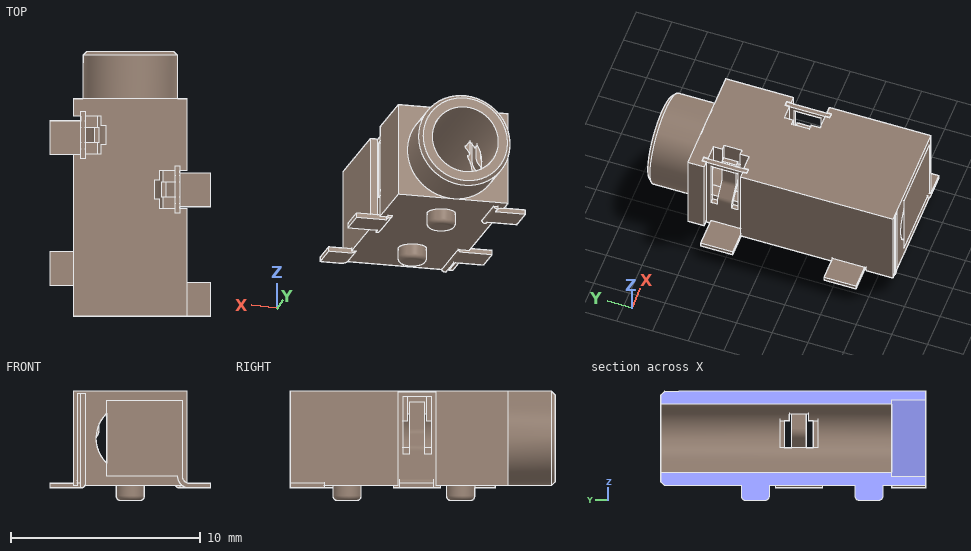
import cadquery as cq
import math

body_width = 6.0
body_length = 11.5
body_height = 5.0
collar_diameter = 5.0
collar_length = 2.5
collar_chamfer = 0.2
bore_diameter = 3.6
peg_diameter = 1.5
peg_length = 0.8
peg_fillet = 0.25
peg_positions_y = (3.0, 9.0)
half_width = body_width / 2
bore_height = body_height / 2

sheet = 0.25
foot_width = 1.8
foot_tip = 4.25
foot_bottom = -sheet / 2
foot_top = sheet / 2
blade_inner = 2.375
blade_outer = blade_inner + sheet
heel_radius = 0.2

spring_blade_width = 2.5
spring_blade_top = 4.95
window_width = 1.5
window_bottom = 1.66
window_top = 4.7
spring_width = 0.8
spring_bend_start = 1.84
spring_tip = 4.425
spring_offset = 0.735
spring_bend_radius = 0.44
spring_angle = math.radians(42.5)
left_spring_y = 9.58
left_spring_foot_y = 9.44
right_spring_y = 6.7
right_spring_foot_y = 6.68
right_foot_fillet = 0.2

pocket_width = 2.0
pocket_inner = 1.55
pocket_floor = 2.0
deep_pocket_width = 1.0
deep_pocket_inner = 1.275

blade_length = 3.43
blade_top = 4.86
slot_outer = 2.795
foot_notch_start = 1.52
foot_notch_height = 0.26

block_size = 4.0
block_left = -1.25
block_right = block_left + block_size
block_bottom = (body_height - block_size) / 2
block_top = block_bottom + block_size


def block(x_range, y_range, z_range):
    """Box between two limits along each axis."""
    size = [high - low for low, high in (x_range, y_range, z_range)]
    corner = (x_range[0], y_range[0], z_range[0])
    return cq.Workplane("XY").box(*size, centered=False).translate(corner)


def span(center, width):
    """Limits of a stretch of the given width around its centre."""
    return (center - width / 2, center + width / 2)


def mirrored(shape):
    """The same shape on the other side of the centre plane."""
    return shape.mirror("YZ")


def blade_and_foot(blade_span, top, foot_span):
    """Upright blade on the left side with a flat foot pointing outwards."""
    blade = block((-blade_outer, -blade_inner), blade_span, (foot_bottom, top))
    blade = blade.edges("|Y and >X and <Z").fillet(heel_radius)
    foot = block((-foot_tip, -blade_outer), foot_span, (foot_bottom, foot_top))
    return blade.union(foot)


def spring_tongue(center_y):
    """Strip that rises from the blade, leans inwards and turns upright again."""
    lower_radius = spring_bend_radius - sheet / 2
    upper_radius = spring_bend_radius + sheet / 2
    bend_run = 1 - math.cos(spring_angle)
    bend_rise = math.sin(spring_angle)
    slope_run = spring_offset - (lower_radius + upper_radius) * bend_run
    slope_rise = slope_run / math.tan(spring_angle)
    root_x = -(blade_inner + blade_outer) / 2
    path = (
        cq.Workplane("XZ", origin=(0, center_y, 0))
        .moveTo(root_x, window_bottom)
        .lineTo(root_x, spring_bend_start)
        .tangentArcPoint((lower_radius * bend_run, lower_radius * bend_rise))
        .line(slope_run, slope_rise)
        .tangentArcPoint((upper_radius * bend_run, upper_radius * bend_rise))
        .lineTo(root_x + spring_offset, spring_tip)
    )
    strip = cq.Workplane("XY", origin=(root_x, center_y, window_bottom)).rect(sheet, spring_width)
    return strip.sweep(path)


def spring_terminal(center_y, foot_y):
    """Left-hand spring terminal: windowed blade, foot and spring tongue."""
    terminal = blade_and_foot(
        span(center_y, spring_blade_width), spring_blade_top, span(foot_y, foot_width)
    )
    window = block(
        (-blade_outer, -blade_inner), span(center_y, window_width), (window_bottom, window_top)
    )
    return terminal.cut(window).union(spring_tongue(center_y))


def foot_fillet(center_y):
    """Concave fillet between the outer face of a left-hand blade and its foot."""
    edge = -blade_outer
    foot_end = edge - right_foot_fillet
    blade_end = foot_top + right_foot_fillet
    corner = block((foot_end, edge), span(center_y, foot_width), (foot_top, blade_end))
    hollow = (
        cq.Workplane("XZ", origin=(foot_end, center_y + foot_width / 2, blade_end))
        .circle(right_foot_fillet)
        .extrude(foot_width)
    )
    return corner.cut(hollow)


def end_block_terminal():
    """Square end block with a side leg that bends out into a foot."""
    core = block((block_left, block_right), (0, foot_width), (block_bottom, block_top))
    leg_inner = block_right - sheet
    outer_radius = block_bottom - foot_bottom
    inner_radius = outer_radius - sheet
    bend_end = leg_inner + outer_radius
    diagonal = math.sqrt(0.5)
    leg = (
        cq.Workplane("XZ")
        .moveTo(leg_inner, block_top)
        .lineTo(leg_inner, block_bottom)
        .threePointArc(
            (bend_end - outer_radius * diagonal, block_bottom - outer_radius * diagonal),
            (bend_end, foot_bottom),
        )
        .lineTo(foot_tip, foot_bottom)
        .lineTo(foot_tip, foot_top)
        .lineTo(bend_end, foot_top)
        .threePointArc(
            (bend_end - inner_radius * diagonal, block_bottom - inner_radius * diagonal),
            (block_right, block_bottom),
        )
        .lineTo(block_right, block_top)
        .close()
        .extrude(-foot_width)
    )
    return core.union(leg)


def spring_openings(center_y, notch_span):
    """Blade slot, side notch and stepped pocket for a left-hand spring terminal."""
    full_height = (0, body_height)
    slot = block((-blade_outer, -blade_inner), span(center_y, spring_blade_width), full_height)
    notch = block((-half_width, -blade_outer), notch_span, full_height)
    pocket_height = (pocket_floor, body_height)
    pocket = block((-blade_inner, -pocket_inner), span(center_y, pocket_width), pocket_height)
    deep_pocket = block(
        (-blade_inner, -deep_pocket_inner), span(center_y, deep_pocket_width), pocket_height
    )
    return slot.union(notch).union(pocket).union(deep_pocket)


def plain_housing():
    """Block with round collar, through bore and two locating pegs."""
    shell = block((-half_width, half_width), (0, body_length), (0, body_height))
    collar = (
        cq.Workplane("XZ", origin=(0, body_length, bore_height))
        .circle(collar_diameter / 2)
        .extrude(-collar_length)
        .faces(">Y")
        .chamfer(collar_chamfer)
    )
    bore = (
        cq.Workplane("XZ", origin=(0, 0, bore_height))
        .circle(bore_diameter / 2)
        .extrude(-(body_length + collar_length))
    )
    pegs = (
        cq.Workplane("XY")
        .pushPoints([(0, y) for y in peg_positions_y])
        .circle(peg_diameter / 2)
        .extrude(-peg_length)
        .faces("<Z")
        .edges()
        .fillet(peg_fillet)
    )
    return shell.union(collar).cut(bore).union(pegs)


left_spring = spring_terminal(left_spring_y, left_spring_foot_y)
right_spring = mirrored(
    spring_terminal(right_spring_y, right_spring_foot_y).union(foot_fillet(right_spring_foot_y))
)
blade_terminal = blade_and_foot(
    (0, blade_length), blade_top, (blade_length - foot_width, blade_length)
)
end_terminal = end_block_terminal()
terminals = [left_spring, right_spring, blade_terminal, end_terminal]

left_notch = (left_spring_foot_y - foot_width / 2, left_spring_y + pocket_width / 2)
blade_slot = block((-slot_outer, -blade_outer), (0, blade_length), (0, blade_top))
foot_notch = block(
    (-half_width, -blade_outer), (foot_notch_start, blade_length), (0, foot_notch_height)
)
housing = (
    plain_housing()
    .cut(spring_openings(left_spring_y, left_notch))
    .cut(mirrored(spring_openings(right_spring_y, span(right_spring_y, pocket_width))))
    .cut(blade_slot)
    .cut(foot_notch)
)
for terminal in terminals:
    housing = housing.cut(terminal)

bodies = [housing, *terminals]
result = cq.Compound.makeCompound([body.solids().val() for body in bodies])